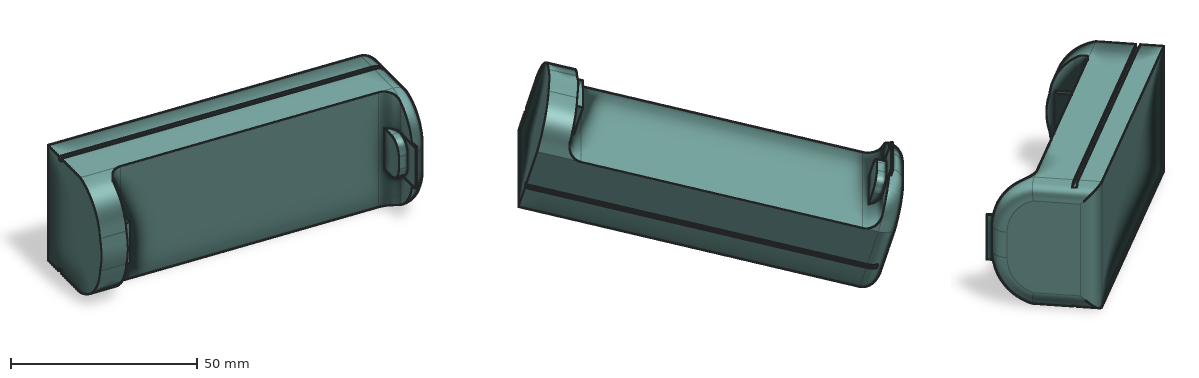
import cadquery as cq
import math

length = 100.0
width = 36.5
base_depth = 18.5
wall_depth = 30.6
half_length = length / 2
half_width = width / 2

front_wall = 8.0
rear_wall = 5.0
rear_round = 4.9
root_radius = 4.3
front_wall_face = -half_length + front_wall
rear_wall_face = half_length - rear_wall

crown_radius = 15.0
arc_offset = 3.7
crown_center = base_depth - math.sqrt(crown_radius**2 - (half_width - arc_offset) ** 2)
rim_height = half_width - rear_round - arc_offset
miter_x = crown_center + math.sqrt((crown_radius - rear_round) ** 2 - rim_height**2)

bulge_half_width = 5.2
bulge_root = crown_center + math.sqrt(crown_radius**2 - (bulge_half_width - arc_offset) ** 2)

groove_x = 6.4
groove_width = 1.2
groove_depth = 1.0
groove_rear_gap = 1.8

block_depth_end = 28.0
block_width = 13.0
block_thickness = 2.1
button_top = 27.0
button_width = 13.0
button_radius = 4.5
button_thickness = 2.7
tab_top = 31.3
tab_width = 13.0
tab_thickness = 0.6


def box(x_start, x_end, y_start, y_end, z_width):
    """Box centred on Z = 0 with the given X and Y limits."""
    return (
        cq.Workplane("XY")
        .box(x_end - x_start, y_end - y_start, z_width, centered=(False, False, True))
        .translate((x_start, y_start, 0))
    )


def rounded_base():
    """Block as wide as the housing, with its rear rim rounded at the back and on both sides."""
    block = box(0, 2 * wall_depth, -half_length, half_length, width)
    sides = block.edges(">Y and |X").fillet(rear_round)
    back = block.edges(">Y and <X").fillet(rear_round)
    return sides.intersect(back)


def crown_bar():
    """Stadium-section bar along Y that forms the crown, with the same rounding on its rear rim."""
    bar = (
        cq.Workplane("XZ", origin=(crown_center, half_length, 0))
        .slot2D(2 * (arc_offset + crown_radius), 2 * crown_radius, 90)
        .extrude(length)
    )
    return bar.faces(">Y").edges().fillet(rear_round)


def front_bulge():
    """Shallow arched segment that raises the middle of the front wall."""
    return (
        cq.Workplane("XZ", origin=(0, front_wall_face, 0))
        .moveTo(crown_center, -bulge_half_width)
        .lineTo(bulge_root, -bulge_half_width)
        .threePointArc((wall_depth, 0), (bulge_root, bulge_half_width))
        .lineTo(crown_center, bulge_half_width)
        .close()
        .extrude(front_wall)
    )


def rounded_body():
    """D-shaped body; the crown takes over from the base where their rounded rims meet."""
    base_limit = box(0, miter_x, -half_length, half_length, width)
    crown_limit = box(miter_x, 2 * wall_depth, -half_length, half_length, width)
    base = rounded_base().intersect(base_limit)
    crown = rounded_base().intersect(crown_bar()).intersect(crown_limit)
    return base.union(crown).union(front_bulge())


def bay_cutter():
    """Space between the end walls, with rounded roots where the walls meet the base."""
    bay = box(base_depth, 2 * wall_depth, front_wall_face, rear_wall_face, 2 * width)
    return bay.edges("<X and |Z").fillet(root_radius)


def groove_cutters():
    """One groove in each Z side, open at the front end."""
    span = length - groove_rear_gap
    outer = box(groove_x, groove_x + groove_width, -half_length, -half_length + span, 2 * width)
    core = box(0, wall_depth, -length, length, width - 2 * groove_depth)
    return outer.cut(core)


def make_front_block():
    """Flat contact block on the front end wall."""
    return box(base_depth, block_depth_end, front_wall_face, front_wall_face + block_thickness, block_width)


def make_rear_button():
    """Contact button on the rear end wall, with its two outer corners rounded."""
    button = box(base_depth, button_top, rear_wall_face - button_thickness, rear_wall_face, button_width)
    return button.edges(">X and |Y").fillet(button_radius)


def make_rear_tab():
    """Thin strip let into the face of the rear end wall and standing proud of its crown."""
    return box(base_depth, tab_top, rear_wall_face, rear_wall_face + tab_thickness, tab_width)


front_block = make_front_block()
rear_button = make_rear_button()
rear_tab = make_rear_tab()

housing = rounded_body().cut(bay_cutter()).cut(groove_cutters())
housing = housing.cut(front_block).cut(rear_button).cut(rear_tab)

result = cq.Compound.makeCompound([housing.val(), front_block.val(), rear_button.val(), rear_tab.val()])